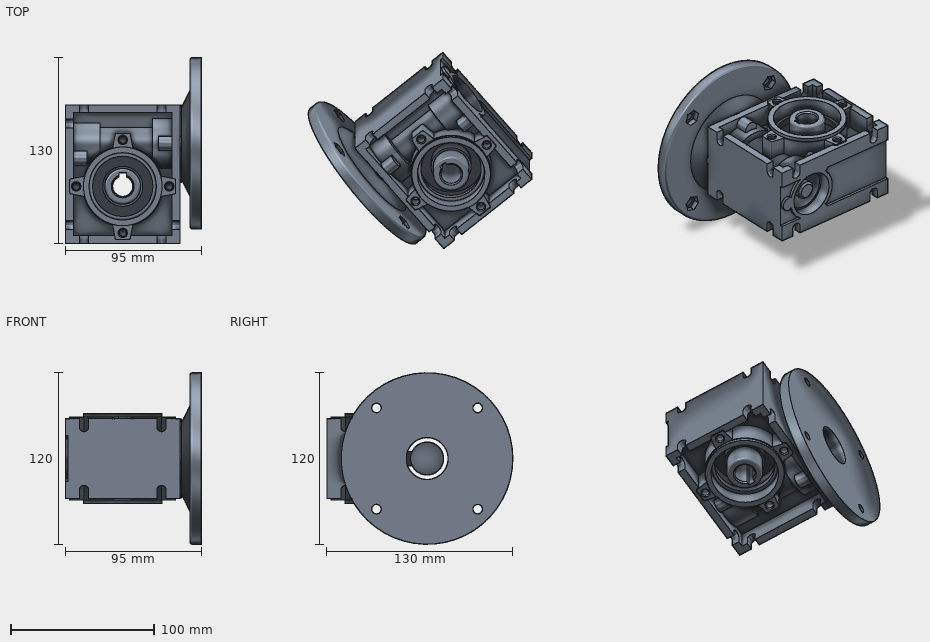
import cadquery as cq
import math


overall_length = 130.0
worm_y = 30.0

flange_dia = 120.0
flange_thickness = 8.0
flange_fillet = 2.0
flange_back_x = 55.0
flange_front_x = flange_back_x - flange_thickness
cone_small_dia = 50.2
cone_large_dia = 73.8
bolt_offset = 35.4
bolt_hole_dia = 6.5
nut_corner_dia = 11.6
nut_depth = 4.0

case_half_x = 40.0
case_front_y = worm_y + flange_dia / 2 - overall_length
case_back_y = 57.0
case_half_z = 28.0
wall = 5.5
floor_z = 12.4

slot_width = 6.5
slot_bottom_z = 18.8
slot_offset = 27.0
slot_back_y = 44.0

tube_dia = 33.0
cap_boss_dia = 38.0
cap_boss_end_x = -16.0
drive_boss_dia = 42.9
drive_boss_start_x = 20.7
worm_bore_dia = 29.1
cap_bore_dia = 32.0
cap_bore_depth = 8.6

lug_dia = 10.0
cap_lug_radius = 20.9
cap_lug_end_x = -25.1
cap_lug_angles = (0, 120, 240)
drive_lug_radius = 22.5
drive_lug_start_x = 25.1
drive_lug_angles = (0, 90, 180, 270)

recess_half_z = 16.0
recess_depth = 2.0
pad_dia = 44.0
pad_height = 0.9
pad_face_x = case_half_x + pad_height

hub_dia = 56.0
hub_top_z = 29.0
ring_dia = 55.0
ring_top_z = 31.5
bearing_bore_dia = 47.0
bearing_seat_z = 20.8
opening_dia = 42.1
wheel_cavity_dia = 47.6
wheel_cavity_half_z = 16.0

ear_angles = (0, 90, 180, 270)
ear_reach = 37.0
ear_tip_width = 10.3
ear_root_width = 14.5
ear_root_radius = 26.0
ear_corner_radius = 1.0
ear_hole_radius = 32.5
ear_hole_dia = 5.0
ear_hole_depth = 10.4
ear_countersink_dia = 6.5
drill_tip_angle = 118

wheel_dia = 45.0
wheel_width = 10.1
wheel_hub_dia = 28.0
wheel_hub_half_z = 15.6
output_shaft_dia = 25.0
output_shaft_fillet = 1.5
output_bore_dia = 14.0
output_bore_chamfer = 0.98
keyway_width = 5.0
keyway_top_y = 9.4

worm_dia = 14.8
worm_tip_x = -35.1
worm_tip_dia = 13.0
worm_tip_chamfer = 1.4
worm_start_x = -22.1
worm_end_x = 19.5
shoulder_dia = 16.9
shoulder_start_x = 21.0
shoulder_end_x = 23.4
collar_dia = 23.1
collar_start_x = 25.1


def cylinder_z(dia, z_low, z_high):
    """Cylinder around the wheel axis."""
    return cq.Workplane("XY").workplane(offset=z_low).circle(dia / 2).extrude(z_high - z_low)


def cylinder_x(dia, x_low, x_high, y=worm_y, z=0.0):
    """Cylinder parallel to the worm axis."""
    return cq.Workplane("YZ", origin=(x_low, y, z)).circle(dia / 2).extrude(x_high - x_low)


def turned_x(profile):
    """Solid turned around the worm axis from (x, radius) points."""
    axis_start = (0, 0, 0)
    axis_end = (1, 0, 0)
    outline = cq.Workplane("XY", origin=(0, worm_y, 0)).polyline(profile).close()
    return outline.revolve(360, axis_start, axis_end)


def box_between(x_low, x_high, y_low, y_high, z_low, z_high):
    size = (x_high - x_low, y_high - y_low, z_high - z_low)
    return cq.Workplane("XY").box(*size, centered=False).translate((x_low, y_low, z_low))


def lugs(radius, angles, x_low, x_high):
    """Round screw lugs on a circle around the worm axis; angle 0 lies towards +Y, 90 towards +Z."""
    group = cq.Workplane("YZ")
    for angle in angles:
        y = worm_y + radius * math.cos(math.radians(angle))
        z = radius * math.sin(math.radians(angle))
        group = group.union(cylinder_x(lug_dia, x_low, x_high, y, z))
    return group.intersect(box_between(x_low, x_high, case_front_y, case_back_y, -case_half_z, case_half_z))


def ear(angle):
    """Tapered column beside the hub, running through the full height."""
    outline = [
        (0, -ear_root_width / 2),
        (ear_root_radius, -ear_root_width / 2),
        (ear_reach, -ear_tip_width / 2),
        (ear_reach, ear_tip_width / 2),
        (ear_root_radius, ear_root_width / 2),
        (0, ear_root_width / 2),
    ]
    column = cq.Workplane("XY").workplane(offset=-hub_top_z).polyline(outline).close().extrude(2 * hub_top_z)
    column = column.edges("|Z").edges(">X").fillet(ear_corner_radius)
    return column.rotate((0, 0, 0), (0, 0, 1), angle)


def ear_hole():
    """Blind drilled hole with a countersink and a drill tip, opening at the top of the ear on +X."""
    hole_radius = ear_hole_dia / 2
    sink_radius = ear_countersink_dia / 2
    sink_depth = sink_radius - hole_radius
    tip_depth = hole_radius / math.tan(math.radians(drill_tip_angle / 2))
    profile = [
        (0, 0),
        (sink_radius, 0),
        (hole_radius, -sink_depth),
        (hole_radius, -ear_hole_depth),
        (0, -ear_hole_depth - tip_depth),
    ]
    drill = cq.Workplane("XZ").polyline(profile).close().revolve(360, (0, 0, 0), (0, 1, 0))
    return drill.translate((ear_hole_radius, 0, hub_top_z))


def foot_slot(x, y, along_x):
    """Round-bottomed slot through one wall, open at the top."""
    radius = slot_width / 2
    half_length = wall
    plane = cq.Plane((x, y, slot_bottom_z + radius), (0, 1, 0) if along_x else (1, 0, 0),
                     (1, 0, 0) if along_x else (0, -1, 0))
    height = case_half_z - slot_bottom_z
    slot = cq.Workplane(plane).circle(radius).extrude(half_length, both=True)
    upper = cq.Workplane(plane).rect(slot_width, 2 * height).extrude(half_length, both=True)
    upper = upper.intersect(box_between(-overall_length, overall_length, -overall_length, overall_length,
                                        slot_bottom_z + radius, overall_length))
    return slot.union(upper)


def both_sides(shape):
    return shape.union(shape.mirror("XY"))


def make_housing():
    inner_x = case_half_x - wall
    body = box_between(-case_half_x, case_half_x, case_front_y, case_back_y, -case_half_z, case_half_z)

    pocket = box_between(-inner_x, inner_x, case_front_y + wall, case_back_y - wall, floor_z, case_half_z)
    body = body.cut(pocket).cut(pocket.mirror("XY"))

    slots = [(x, y, False) for x in (-slot_offset, slot_offset) for y in (case_front_y, case_back_y)]
    slots += [(-case_half_x, -slot_offset, True), (case_half_x, -slot_offset, True)]
    slots += [(-case_half_x, slot_back_y, True)]
    for x, y, along_x in slots:
        slot = foot_slot(x, y, along_x)
        body = body.cut(slot).cut(slot.mirror("XY"))

    body = body.union(cylinder_x(tube_dia, -inner_x, inner_x))
    body = body.union(cylinder_x(cap_boss_dia, -inner_x, cap_boss_end_x))
    body = body.union(cylinder_x(drive_boss_dia, drive_boss_start_x, inner_x))
    body = body.union(lugs(cap_lug_radius, cap_lug_angles, -inner_x, cap_lug_end_x))
    body = body.union(lugs(drive_lug_radius, drive_lug_angles, drive_lug_start_x, inner_x))

    recess_end_x = recess_depth - case_half_x
    recess = box_between(-case_half_x, recess_end_x, case_front_y, case_back_y, -recess_half_z, recess_half_z)
    recess = recess.cut(cylinder_x(cap_boss_dia, -case_half_x, recess_end_x))
    recess = recess.cut(lugs(cap_lug_radius, cap_lug_angles, -case_half_x, recess_end_x))
    body = body.cut(recess)

    body = body.union(cylinder_x(pad_dia, case_half_x, pad_face_x))
    body = body.union(lugs(drive_lug_radius, drive_lug_angles, case_half_x, pad_face_x))

    body = body.union(cylinder_z(hub_dia, -hub_top_z, hub_top_z))
    body = body.union(cylinder_z(ring_dia, -ring_top_z, ring_top_z))
    for angle in ear_angles:
        body = body.union(ear(angle))
    hole = both_sides(ear_hole())
    for angle in ear_angles:
        body = body.cut(hole.rotate((0, 0, 0), (0, 0, 1), angle))

    body = body.cut(cylinder_z(wheel_cavity_dia, -wheel_cavity_half_z, wheel_cavity_half_z))
    body = body.cut(cylinder_z(opening_dia, -bearing_seat_z, bearing_seat_z))
    body = body.cut(both_sides(cylinder_z(bearing_bore_dia, bearing_seat_z, ring_top_z)))
    body = body.cut(cylinder_x(worm_bore_dia, -case_half_x, pad_face_x))
    body = body.cut(cylinder_x(cap_bore_dia, -case_half_x, cap_bore_depth - case_half_x))
    return body


def make_flange():
    disc = cylinder_x(flange_dia, flange_front_x, flange_back_x)
    disc = disc.faces("<X").edges().fillet(flange_fillet)
    cone = turned_x([
        (pad_face_x, 0),
        (pad_face_x, cone_small_dia / 2),
        (flange_front_x, cone_large_dia / 2),
        (flange_front_x, 0),
    ])
    flange = disc.union(cone).cut(cylinder_x(worm_bore_dia, pad_face_x, flange_back_x))

    bolt_radius = bolt_offset * math.sqrt(2)
    for angle in (45, 135, 225, 315):
        nut = cq.Workplane("YZ", origin=(flange_front_x, worm_y + bolt_radius, 0))
        nut = nut.polygon(6, nut_corner_dia).extrude(nut_depth)
        hole = cylinder_x(bolt_hole_dia, flange_front_x, flange_back_x, worm_y + bolt_radius)
        flange = flange.cut(nut.union(hole).rotate((0, worm_y, 0), (1, worm_y, 0), angle))
    return flange


def make_worm_wheel():
    """Wheel disc, its hub and the hollow output shaft in one piece."""
    shaft = cylinder_z(output_shaft_dia, -ring_top_z, ring_top_z)
    shaft = shaft.faces("<Z or >Z").edges().fillet(output_shaft_fillet)
    wheel = shaft.union(cylinder_z(wheel_hub_dia, -wheel_hub_half_z, wheel_hub_half_z))
    wheel = wheel.union(cylinder_z(wheel_dia, -wheel_width / 2, wheel_width / 2))
    bore = cylinder_z(output_bore_dia, -ring_top_z, ring_top_z)
    wheel = wheel.cut(bore).faces("<Z or >Z").edges("%CIRCLE").edges(cq.selectors.RadiusNthSelector(0))
    wheel = wheel.chamfer(output_bore_chamfer)
    keyway = box_between(-keyway_width / 2, keyway_width / 2, 0, keyway_top_y, -ring_top_z, ring_top_z)
    return wheel.cut(keyway)


def make_worm_shaft():
    """Stepped shaft with a chamfered tip and conical shoulders."""
    return turned_x([
        (worm_tip_x, 0),
        (worm_tip_x, worm_tip_dia / 2 - worm_tip_chamfer),
        (worm_tip_x + worm_tip_chamfer, worm_tip_dia / 2),
        (worm_start_x, worm_tip_dia / 2),
        (worm_start_x, worm_dia / 2),
        (worm_end_x, worm_dia / 2),
        (shoulder_start_x, shoulder_dia / 2),
        (shoulder_end_x, shoulder_dia / 2),
        (collar_start_x, collar_dia / 2),
        (pad_face_x, collar_dia / 2),
        (pad_face_x, 0),
    ])


housing = make_housing()
flange = make_flange()
worm_wheel = make_worm_wheel()
worm_shaft = make_worm_shaft()

result = cq.Compound.makeCompound([housing.val(), flange.val(), worm_wheel.val(), worm_shaft.val()])